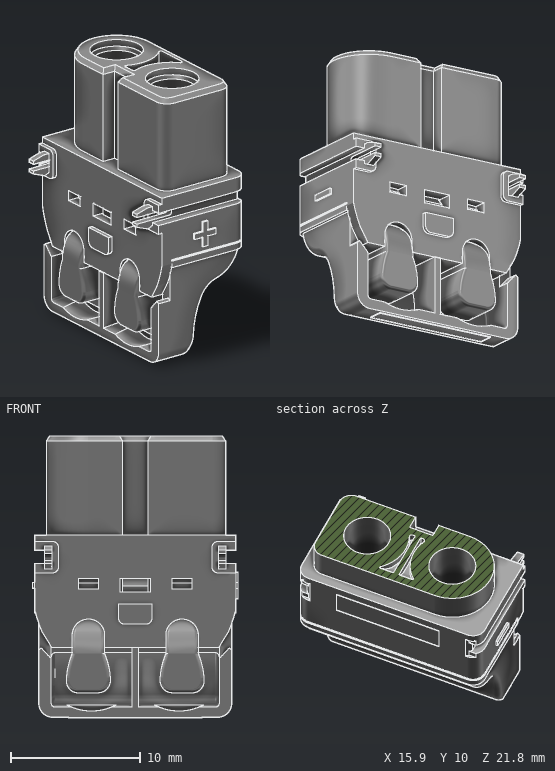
import cadquery as cq
import math


BODY_HALF_X = 7.79
BODY_HALF_Y = 4.07
BODY_BOTTOM = -6.03
BODY_CORNER_R = 1.0
PARTING_TOP = -5.4
PARTING_GAP = 0.09

APRON_BACK = 1.0 - BODY_HALF_Y
APRON_BOTTOM = -8.7
APRON_BOTTOM_HALF_X = 6.46
APRON_CURVE_TOP = -5.72
APRON_CURVE_MID = (7.53, -6.64)
APRON_CURVE_END = (7.18, -7.52)
APRON_KINK = (6.8, -8.14)

PLUG_TOP = 7.67
PLUG_HALF_Y = 3.26
PLUG_RIGHT = 7.0
PLUG_CORNER_R = 1.0
PLUG_CHAMFER_Z = 0.4
PLUG_CHAMFER_XY = 0.27
KEY_HALF_WIDTH = 0.97
KEY_BASE_Y = -2.15
SOCKET_X = 3.62
SOCKET_R = 1.8
SOCKET_MOUTH_R = 2.07
SOCKET_MOUTH_DEPTH = 0.55
SOCKET_STEP_END = 0.8
SOCKET_DEPTH = 10.0
SOCKET_CONE_HEIGHT = 1.0

RELIEF_R = 3.28
RELIEF_BACK = 2.66
RELIEF_FRONT = -1.5
RELIEF_HALF_X = 1.4
RELIEF_FRONT_HALF_X = 0.61
RELIEF_CORNER_R = 0.15
RELIEF_DEPTH = 6.0
RELIEF_FLOOR_R = 1.2
RELIEF_RIB_HALF_X = 0.25
RELIEF_RIB_DROP = 3.0

SHELL_HALF_X = 7.47
SHELL_FRONT = -4.15
SHELL_BOTTOM = -14.1
SHELL_EDGE_R = 0.55
SHELL_CORNER_R = 1.1
SHELL_TOP = -5.5
SHELL_BACK = 3.85
SHELL_SHOULDER_MID = (3.2, -7.29)
SHELL_WAIST = (1.6, -8.31)
SHELL_HIP = (0.24, -9.4)
SHELL_NOSE = (-0.52, -12.4)
SHELL_NOSE_LENGTH = 1.6
FRAME_OUTER_Z = -8.9
FRAME_PEAK = (7.28, -8.73)
FRAME_INNER_Z = -9.55

RECESS_INNER_X = 0.27
RECESS_OUTER_X = 6.5
RECESS_CORNER_R = 0.3
RECESS_FLOOR = -13.3
RECESS_FLOOR_BACK = -13.15
RECESS_CEILING_Y = 0.2
RECESS_WALL_START = (-0.4, -9.1)
RECESS_WALL_MID = (-1.1, -10.7)
RECESS_WALL_END = (-1.35, -12.37)
DISH_R = 4.1
DISH_DROP = 0.31
DISH_DEPTH = 2.0

RAISED_FRONT = -4.4
TONGUE_FRONT = -4.42
TONGUE_TOP = -6.5
TONGUE_NECK_HALF_X = 1.26
TONGUE_BEND_Z = -9.17
TONGUE_BEND_R = 3.7
TONGUE_HALF_X = 1.7
TONGUE_NECK_ROUND = 1.15
TONGUE_SLOT_BACK = -2.9
TONGUE_SIDE_BULGE = 0.08
TONGUE_CORNER_Z = -11.3
TONGUE_CORNER_MID = (-1.41, -11.93)
TONGUE_WIDE_Z = -11.05
TONGUE_BOTTOM = -12.2
TONGUE_FOOT_HALF_X = 0.7
TONGUE_EDGE_R = 0.28
TONGUE_BACK = -0.5

GROOVE_TOP = -1.18
GROOVE_BOTTOM = -2.2
CLIP_OUTER_X = 7.02
CLIP_INNER_X = 6.45
CLIP_BEVEL_Y = 3.71
CLIP_BEVEL_X = 6.6
CLIP_RECESS_Y = 3.87
CLIP_PLATE_TOP = -0.68
CLIP_PLATE_BOTTOM = -2.68
CLIP_PAD_INNER_X = 5.94
CLIP_PAD_TOP = -0.5
CLIP_PAD_BOTTOM = -2.93
CLIP_PAD_R = 0.45
FORK_SLOT_TOP = -1.42
FORK_SLOT_BOTTOM = -1.97
FORK_SLOT_END = -2.55
FORK_SLOT_ROUND = 0.27
PIN_TIP = -5.9
PIN_UPPER_KNEE = (-4.9, -0.86)
PIN_UPPER_TIP_Z = -1.15
PIN_LOWER_ROOT_Z = -2.45
PIN_LOWER_KNEE = (-4.83, -2.63)
PIN_LOWER_TIP_Z = -2.22

WINDOW_TOP = -3.36
SIDE_WINDOW_HALF_X = 0.77
SIDE_WINDOW_BOTTOM = -4.18
SIDE_WINDOW_STEP_Z = -3.7
BARREL_R = 3.2
BARREL_STEP = 0.2
MID_WINDOW_HALF_X = 1.16
MID_WINDOW_BOTTOM = -4.42
MID_WINDOW_RAMP_Z = -3.94
MID_WINDOW_RAMP_HALF_X = 0.98
MID_WINDOW_DEPTH = 1.3
MID_WINDOW_RAMP_RUN = 0.5
MID_PAD_HALF_X = 1.3
MID_PAD_TOP = -5.34
MID_PAD_BOTTOM = -6.9
MID_PAD_R = 0.5

MARK_HEIGHT = 0.16
MARK_HALF_LENGTH = 1.03
MARK_HALF_WIDTH = 0.23
MARK_Z = -3.9

BACK_STRIP_HALF_X = 4.35
BACK_STRIP_TOP = -0.75
BACK_STRIP_BOTTOM = -2.65
BACK_STRIP_Y = 4.1
BOTTOM_STRIP_HALF_X = 5.15
BOTTOM_STRIP_FRONT = -3.8
BOTTOM_STRIP_BACK = -2.5
BOTTOM_STRIP_Z = -14.16
BOTTOM_STRIP_ROOT = 0.2


def block(x0, x1, y0, y1, z0, z1):
    """Box between the given limits along each axis."""
    return cq.Workplane("XY").box(x1 - x0, y1 - y0, z1 - z0, centered=False).translate((x0, y0, z0))


def front_plate(sketch_y):
    """Plane parallel to XZ at the given Y; extruding runs toward -Y."""
    return cq.Workplane("XZ", origin=(0, sketch_y, 0))


def both_sides(solid):
    """The solid joined with its mirror image across X = 0."""
    return solid.union(solid.mirror("YZ"))


def make_body():
    body = block(-BODY_HALF_X, BODY_HALF_X, -BODY_HALF_Y, BODY_HALF_Y, BODY_BOTTOM, 0)
    body = body.edges("|Z and >Y").fillet(BODY_CORNER_R)
    inset = PARTING_GAP
    ring = block(-BODY_HALF_X, BODY_HALF_X, APRON_BACK, BODY_HALF_Y, PARTING_TOP - PARTING_GAP, PARTING_TOP)
    core = block(-BODY_HALF_X + inset, BODY_HALF_X - inset, APRON_BACK, BODY_HALF_Y - inset, BODY_BOTTOM, 0)
    core = core.edges("|Z and >Y").fillet(BODY_CORNER_R - inset)
    below = block(-BODY_HALF_X, BODY_HALF_X, -BODY_HALF_Y, APRON_BACK, BODY_BOTTOM, APRON_CURVE_TOP)
    return body.cut(ring.cut(core)).cut(below)


def make_apron():
    half = (
        front_plate(APRON_BACK)
        .moveTo(0, APRON_CURVE_TOP)
        .lineTo(BODY_HALF_X, APRON_CURVE_TOP)
        .threePointArc(APRON_CURVE_MID, APRON_CURVE_END)
        .lineTo(*APRON_KINK)
        .lineTo(APRON_BOTTOM_HALF_X, APRON_BOTTOM)
        .lineTo(0, APRON_BOTTOM)
        .close()
        .extrude(APRON_BACK + BODY_HALF_Y)
    )
    return both_sides(half)


def plug_outline(inset):
    """Plug block outline at the shoulder, moved inward by inset."""
    half_y = PLUG_HALF_Y - inset
    right = PLUG_RIGHT - inset
    corner = PLUG_CORNER_R - inset
    diagonal = corner * (1 - math.sqrt(0.5))
    key_half = KEY_HALF_WIDTH + inset
    key_base = KEY_BASE_Y + inset
    return (
        cq.Workplane("XY")
        .moveTo(-SOCKET_X, half_y)
        .threePointArc((-SOCKET_X - half_y, 0), (-SOCKET_X, -half_y))
        .lineTo(-key_half, -half_y)
        .lineTo(-key_half, key_base)
        .lineTo(key_half, key_base)
        .lineTo(key_half, -half_y)
        .lineTo(right - corner, -half_y)
        .threePointArc((right - diagonal, -half_y + diagonal), (right, -half_y + corner))
        .lineTo(right, half_y - corner)
        .threePointArc((right - diagonal, half_y - diagonal), (right - corner, half_y))
        .close()
    )


def make_plug():
    straight_top = PLUG_TOP - PLUG_CHAMFER_Z
    straight = plug_outline(0).extrude(straight_top)
    lower = plug_outline(0).wires().val().moved(cq.Location(cq.Vector(0, 0, straight_top)))
    upper = plug_outline(PLUG_CHAMFER_XY).wires().val().moved(cq.Location(cq.Vector(0, 0, PLUG_TOP)))
    return straight.union(cq.Workplane(cq.Solid.makeLoft([lower, upper], True)))


def make_socket_hole():
    mouth_end = PLUG_TOP - SOCKET_MOUTH_DEPTH
    step_end = PLUG_TOP - SOCKET_STEP_END
    bore_end = PLUG_TOP - SOCKET_DEPTH
    return (
        cq.Workplane("XZ")
        .moveTo(0, PLUG_TOP)
        .lineTo(SOCKET_MOUTH_R, PLUG_TOP)
        .lineTo(SOCKET_MOUTH_R, mouth_end)
        .lineTo(SOCKET_R, step_end)
        .lineTo(SOCKET_R, bore_end)
        .lineTo(0, bore_end - SOCKET_CONE_HEIGHT)
        .close()
        .revolve(360, (0, 0, 0), (0, 1, 0))
        .translate((SOCKET_X, 0, 0))
    )


def make_relief():
    floor = PLUG_TOP - RELIEF_DEPTH
    wide_part = block(-RELIEF_HALF_X, RELIEF_HALF_X, 0, RELIEF_BACK, floor, PLUG_TOP)
    narrow_part = block(-RELIEF_FRONT_HALF_X, RELIEF_FRONT_HALF_X, RELIEF_FRONT, 0, floor, PLUG_TOP)
    relief = wide_part.union(narrow_part).edges("|Z and (>Y or <Y)").fillet(RELIEF_CORNER_R)
    rounded_floor = block(-RELIEF_HALF_X, RELIEF_HALF_X, RELIEF_FRONT, RELIEF_BACK, floor, PLUG_TOP)
    relief = relief.intersect(rounded_floor.edges("|X and >Y and <Z").fillet(RELIEF_FLOOR_R))
    for x in (-SOCKET_X, SOCKET_X):
        wall = cq.Workplane("XY", origin=(x, 0, 0)).circle(RELIEF_R).extrude(PLUG_TOP)
        relief = relief.cut(wall)
    rib_top = PLUG_TOP - RELIEF_RIB_DROP
    rib = block(-RELIEF_RIB_HALF_X, RELIEF_RIB_HALF_X, RELIEF_FRONT, RELIEF_BACK, floor, rib_top)
    return relief.cut(rib)


def make_shell():
    """Lower shell: an S-shaped side profile, rounded along its edges, with a low front frame."""
    profile = (
        cq.Workplane("YZ", origin=(-SHELL_HALF_X, 0, 0))
        .moveTo(APRON_BACK, SHELL_TOP)
        .lineTo(SHELL_BACK, SHELL_TOP)
        .threePointArc(SHELL_SHOULDER_MID, SHELL_WAIST)
        .tangentArcPoint(SHELL_HIP, relative=False)
        .tangentArcPoint(SHELL_NOSE, relative=False)
        .tangentArcPoint((SHELL_NOSE[0] - SHELL_NOSE_LENGTH, SHELL_BOTTOM), relative=False)
        .lineTo(SHELL_FRONT, SHELL_BOTTOM)
        .lineTo(SHELL_FRONT, APRON_BOTTOM)
        .lineTo(APRON_BACK, APRON_BOTTOM)
        .close()
    )
    shell = profile.extrude(2 * SHELL_HALF_X)
    front_outline = block(-SHELL_HALF_X, SHELL_HALF_X, SHELL_FRONT, SHELL_BACK, SHELL_BOTTOM, SHELL_TOP)
    front_outline = front_outline.edges("|Y and <Z").fillet(SHELL_CORNER_R)
    curved_zone = cq.selectors.BoxSelector(
        (-BODY_HALF_X, SHELL_NOSE[0] - SHELL_EDGE_R, SHELL_NOSE[1]),
        (BODY_HALF_X, SHELL_BACK, SHELL_TOP - SHELL_EDGE_R),
    )
    shell = shell.faces("<X or >X").edges(curved_zone).fillet(SHELL_EDGE_R)
    return shell.intersect(front_outline)


def make_frame_slope():
    """Wedge that lowers the top of the front frame toward the wire recess."""
    peak_x, peak_z = FRAME_PEAK
    return (
        front_plate(APRON_BACK)
        .moveTo(SHELL_HALF_X, FRAME_OUTER_Z)
        .lineTo(peak_x, peak_z)
        .lineTo(RECESS_OUTER_X, FRAME_INNER_Z)
        .lineTo(RECESS_OUTER_X, APRON_BOTTOM)
        .lineTo(SHELL_HALF_X, APRON_BOTTOM)
        .close()
        .extrude(APRON_BACK - SHELL_FRONT)
    )


def make_recess():
    """Wire recess with a curved back wall, a rounded floor and a dished front lip."""
    floor_round = RECESS_WALL_END[1] - RECESS_FLOOR_BACK
    recess = (
        cq.Workplane("YZ", origin=(RECESS_INNER_X, 0, 0))
        .moveTo(SHELL_FRONT, APRON_BOTTOM)
        .lineTo(RECESS_CEILING_Y, APRON_BOTTOM)
        .lineTo(*RECESS_WALL_START)
        .threePointArc(RECESS_WALL_MID, RECESS_WALL_END)
        .tangentArcPoint((RECESS_WALL_END[0] - floor_round, RECESS_FLOOR_BACK), relative=False)
        .lineTo(SHELL_FRONT, RECESS_FLOOR)
        .close()
        .extrude(RECESS_OUTER_X - RECESS_INNER_X)
    )
    recess = recess.faces(">X").edges("|Y or (not |Z)").edges("<Z").fillet(RECESS_CORNER_R)
    dish = (
        cq.Workplane("XZ", origin=(0, SHELL_FRONT, 0))
        .center((RECESS_INNER_X + RECESS_OUTER_X) / 2, RECESS_FLOOR - DISH_DROP + DISH_R)
        .circle(DISH_R)
        .extrude(-DISH_DEPTH)
    )
    below_floor = block(0, SHELL_HALF_X, SHELL_FRONT, 0, SHELL_BOTTOM, RECESS_FLOOR_BACK)
    return recess.union(dish.intersect(below_floor))


def tongue_neck_outline(plane):
    """Round-topped neck of a contact tongue, down to its bend."""
    half = TONGUE_NECK_HALF_X
    return (
        plane.moveTo(-half, TONGUE_BEND_Z)
        .lineTo(-half, TONGUE_TOP - TONGUE_NECK_ROUND)
        .threePointArc((0, TONGUE_TOP), (half, TONGUE_TOP - TONGUE_NECK_ROUND))
    )


def bend_surface_y(rise):
    """Y of the bent neck surface at a height above the bend line."""
    return TONGUE_FRONT + TONGUE_BEND_R - math.sqrt(TONGUE_BEND_R**2 - rise**2)


def make_tongue_slot():
    depth = TONGUE_SLOT_BACK - TONGUE_FRONT
    outline = tongue_neck_outline(front_plate(TONGUE_SLOT_BACK)).lineTo(TONGUE_NECK_HALF_X, TONGUE_BEND_Z)
    return outline.close().extrude(depth).translate((SOCKET_X, 0, 0))


def make_tongue():
    """Contact tongue: a neck that bends back into the body and a wide flat foot."""
    neck = TONGUE_NECK_HALF_X
    wide = TONGUE_HALF_X
    foot = TONGUE_FOOT_HALF_X
    side_mid = ((neck + wide) / 2 + TONGUE_SIDE_BULGE, (TONGUE_BEND_Z + TONGUE_WIDE_Z) / 2)
    outline = (
        tongue_neck_outline(front_plate(TONGUE_BACK))
        .lineTo(neck, TONGUE_BEND_Z)
        .threePointArc(side_mid, (wide, TONGUE_WIDE_Z))
        .lineTo(wide, TONGUE_CORNER_Z)
        .tangentArcPoint((foot, TONGUE_BOTTOM), relative=False)
        .lineTo(-foot, TONGUE_BOTTOM)
        .threePointArc(TONGUE_CORNER_MID, (-wide, TONGUE_CORNER_Z))
        .lineTo(-wide, TONGUE_WIDE_Z)
        .threePointArc((-side_mid[0], side_mid[1]), (-neck, TONGUE_BEND_Z))
        .close()
    )
    blank = outline.extrude(TONGUE_BACK - TONGUE_FRONT)
    rise = TONGUE_TOP - TONGUE_BEND_Z
    mid_rise = rise / 2
    bend = (
        cq.Workplane("YZ", origin=(-wide, 0, 0))
        .moveTo(TONGUE_FRONT, TONGUE_BEND_Z)
        .threePointArc(
            (bend_surface_y(mid_rise), TONGUE_BEND_Z + mid_rise),
            (bend_surface_y(rise), TONGUE_TOP),
        )
        .lineTo(TONGUE_FRONT, TONGUE_TOP)
        .close()
        .extrude(2 * wide)
    )
    tongue = blank.cut(bend)
    bend_middle = (0, bend_surface_y(mid_rise), TONGUE_BEND_Z + mid_rise)
    bend_face = tongue.faces(cq.selectors.NearestToPointSelector(bend_middle))
    foot_edges = tongue.faces("<Y").edges("not (|X and >Z)").vals()
    neck_edges = bend_face.edges("<X or >X").vals()
    tongue = tongue.newObject(foot_edges + neck_edges).fillet(TONGUE_EDGE_R)
    return tongue.translate((SOCKET_X, 0, 0))


def make_clip_band(z_bottom, z_top):
    """Clip wrapped round the sides and back, with bevelled back corners."""
    return (
        cq.Workplane("XY", origin=(0, 0, z_bottom))
        .moveTo(-CLIP_OUTER_X, RAISED_FRONT)
        .lineTo(-CLIP_OUTER_X, CLIP_BEVEL_Y)
        .lineTo(-CLIP_BEVEL_X, BODY_HALF_Y)
        .lineTo(CLIP_BEVEL_X, BODY_HALF_Y)
        .lineTo(CLIP_OUTER_X, CLIP_BEVEL_Y)
        .lineTo(CLIP_OUTER_X, RAISED_FRONT)
        .close()
        .extrude(z_top - z_bottom)
    )


def make_clip_clearance():
    """Space round the clip: the side groove and the shallow recess across the back."""
    groove = block(-BODY_HALF_X, BODY_HALF_X, RAISED_FRONT, BODY_HALF_Y, GROOVE_BOTTOM, GROOVE_TOP)
    recess = block(-BODY_HALF_X, BODY_HALF_X, CLIP_RECESS_Y, BODY_HALF_Y, CLIP_PLATE_BOTTOM, CLIP_PLATE_TOP)
    return groove.union(recess).cut(make_clip_band(CLIP_PLATE_BOTTOM, CLIP_PLATE_TOP))


def make_corner_pad():
    pad = block(CLIP_PAD_INNER_X, BODY_HALF_X, RAISED_FRONT, APRON_BACK, CLIP_PAD_BOTTOM, CLIP_PAD_TOP)
    return pad.edges("|Y and <X").fillet(CLIP_PAD_R)


def make_pin_prong(points):
    """One prong of a forked pin, from (Y, Z) points."""
    plane = cq.Workplane("YZ", origin=(CLIP_INNER_X, 0, 0))
    return plane.polyline(points).close().extrude(CLIP_OUTER_X - CLIP_INNER_X)


def make_pin():
    upper = make_pin_prong(
        [
            (APRON_BACK, FORK_SLOT_TOP),
            (APRON_BACK, PIN_UPPER_KNEE[1]),
            PIN_UPPER_KNEE,
            (PIN_TIP, PIN_UPPER_TIP_Z),
            (PIN_TIP, FORK_SLOT_TOP),
        ]
    )
    lower = make_pin_prong(
        [
            (APRON_BACK, FORK_SLOT_BOTTOM),
            (PIN_TIP, FORK_SLOT_BOTTOM),
            (PIN_TIP, PIN_LOWER_TIP_Z),
            PIN_LOWER_KNEE,
            (RAISED_FRONT, PIN_LOWER_ROOT_Z),
            (APRON_BACK, PIN_LOWER_ROOT_Z),
        ]
    )
    return upper.union(lower)


def make_fork_slot():
    slot = block(CLIP_INNER_X, CLIP_OUTER_X, RAISED_FRONT, FORK_SLOT_END, FORK_SLOT_BOTTOM, FORK_SLOT_TOP)
    return slot.edges("|X and >Y").fillet(FORK_SLOT_ROUND)


def make_side_window():
    """Window onto the round contact barrel, which steps to a smaller size at the top."""
    x0 = SOCKET_X - SIDE_WINDOW_HALF_X
    x1 = SOCKET_X + SIDE_WINDOW_HALF_X
    window = block(x0, x1, -BODY_HALF_Y, -SOCKET_R, SIDE_WINDOW_BOTTOM, WINDOW_TOP)
    barrel = (
        cq.Workplane("XY", origin=(SOCKET_X, 0, SIDE_WINDOW_BOTTOM))
        .circle(BARREL_R)
        .extrude(SIDE_WINDOW_STEP_Z - SIDE_WINDOW_BOTTOM)
        .faces(">Z")
        .workplane()
        .circle(BARREL_R - BARREL_STEP)
        .extrude(WINDOW_TOP - SIDE_WINDOW_STEP_Z)
    )
    return window.cut(barrel)


def make_mid_window():
    back = MID_WINDOW_DEPTH - BODY_HALF_Y
    half = MID_WINDOW_HALF_X
    ramp_half = MID_WINDOW_RAMP_HALF_X
    window = block(-half, half, -BODY_HALF_Y, back, MID_WINDOW_BOTTOM, WINDOW_TOP)
    latch = (
        cq.Workplane("YZ", origin=(-ramp_half, 0, 0))
        .moveTo(back, WINDOW_TOP)
        .lineTo(back - MID_WINDOW_RAMP_RUN, MID_WINDOW_RAMP_Z)
        .lineTo(back - MID_WINDOW_RAMP_RUN, MID_WINDOW_BOTTOM)
        .lineTo(back, MID_WINDOW_BOTTOM)
        .close()
        .extrude(2 * ramp_half)
    )
    return window.cut(latch)


def make_mid_pad():
    half = MID_PAD_HALF_X
    pad = block(-half, half, RAISED_FRONT, APRON_BACK, MID_PAD_BOTTOM, MID_PAD_TOP)
    return pad.edges("|Y and <Z").fillet(MID_PAD_R)


def make_polarity_marks():
    """A minus bar on the -X side and a plus sign on the +X side."""
    long_half = MARK_HALF_LENGTH
    thin_half = MARK_HALF_WIDTH
    reach = BODY_HALF_X + MARK_HEIGHT
    z0 = MARK_Z - thin_half
    z1 = MARK_Z + thin_half
    bars = block(-reach, reach, -long_half, long_half, z0, z1)
    upright = block(0, reach, -thin_half, thin_half, MARK_Z - long_half, MARK_Z + long_half)
    core = block(
        -CLIP_INNER_X, CLIP_INNER_X, -long_half, long_half, MARK_Z - long_half, MARK_Z + long_half
    )
    return bars.union(upright).cut(core)


def make_raised_strips():
    back = block(
        -BACK_STRIP_HALF_X,
        BACK_STRIP_HALF_X,
        CLIP_RECESS_Y,
        BACK_STRIP_Y,
        BACK_STRIP_BOTTOM,
        BACK_STRIP_TOP,
    )
    bottom = block(
        -BOTTOM_STRIP_HALF_X,
        BOTTOM_STRIP_HALF_X,
        BOTTOM_STRIP_FRONT,
        BOTTOM_STRIP_BACK,
        BOTTOM_STRIP_Z,
        RECESS_FLOOR - DISH_DROP - BOTTOM_STRIP_ROOT,
    )
    return back.union(bottom)


housing = make_body().union(make_apron()).union(make_plug()).union(make_shell())
housing = housing.union(both_sides(make_corner_pad())).union(make_mid_pad()).union(make_polarity_marks())

housing = housing.cut(both_sides(make_socket_hole())).cut(make_relief())
housing = housing.cut(both_sides(make_recess())).cut(both_sides(make_frame_slope()))
housing = housing.cut(both_sides(make_side_window())).cut(make_mid_window())

housing = housing.cut(make_clip_clearance())
housing = housing.union(both_sides(make_pin())).cut(both_sides(make_fork_slot()))

housing = housing.cut(both_sides(make_tongue_slot())).union(both_sides(make_tongue()))
result = housing.union(make_raised_strips())